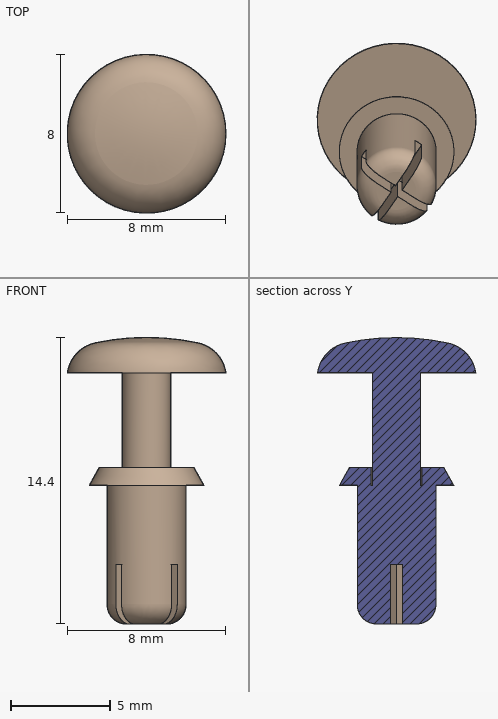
import cadquery as cq

total_height = 14.44

head_radius = 4.0
head_height = 1.79
crown_radius = 2.58
crown_drop = 0.27

pin_diameter = 2.45
bore_diameter = 2.55

sleeve_diameter = 3.99
sleeve_height = 6.99
sleeve_tip_radius = 1.0
collar_height = 0.91
collar_bottom_radius = 2.89
collar_top_radius = 2.38

slot_width = 0.4
slot_height = 3.0

collar_top = sleeve_height + collar_height
head_bottom = total_height - head_height


def make_head():
    crown_edge = (crown_radius, total_height - crown_drop)
    sphere_radius = (crown_radius**2 + crown_drop**2) / (2 * crown_drop)
    half_radius = crown_radius / 2
    half_drop = sphere_radius - (sphere_radius**2 - half_radius**2) ** 0.5
    return (
        cq.Workplane("XZ")
        .moveTo(0, head_bottom)
        .lineTo(0, total_height)
        .threePointArc((half_radius, total_height - half_drop), crown_edge)
        .tangentArcPoint((head_radius, head_bottom), relative=False)
        .close()
        .revolve(360, (0, 0), (0, 1))
    )


def make_sleeve():
    barrel = (
        cq.Workplane("XY")
        .circle(sleeve_diameter / 2)
        .extrude(sleeve_height)
        .faces("<Z")
        .edges()
        .fillet(sleeve_tip_radius)
    )
    collar = (
        cq.Workplane("XZ")
        .moveTo(0, sleeve_height)
        .lineTo(collar_bottom_radius, sleeve_height)
        .lineTo(collar_top_radius, collar_top)
        .lineTo(0, collar_top)
        .close()
        .revolve(360, (0, 0), (0, 1))
    )
    return barrel.union(collar)


def cut_collar_bore(sleeve):
    bore = (
        cq.Workplane("XY")
        .workplane(offset=sleeve_height)
        .circle(bore_diameter / 2)
        .extrude(collar_height)
    )
    return sleeve.cut(bore)


def cut_slots(sleeve):
    for angle in (45, 135):
        slot = (
            cq.Workplane("XY")
            .rect(2 * sleeve_diameter, slot_width)
            .extrude(slot_height)
            .rotate((0, 0, 0), (0, 0, 1), angle)
        )
        sleeve = sleeve.cut(slot)
    return sleeve


def make_pin():
    return (
        cq.Workplane("XY")
        .workplane(offset=slot_height)
        .circle(pin_diameter / 2)
        .extrude(head_bottom - slot_height)
    )


sleeve = cut_slots(cut_collar_bore(make_sleeve()))
result = sleeve.union(make_pin()).union(make_head())